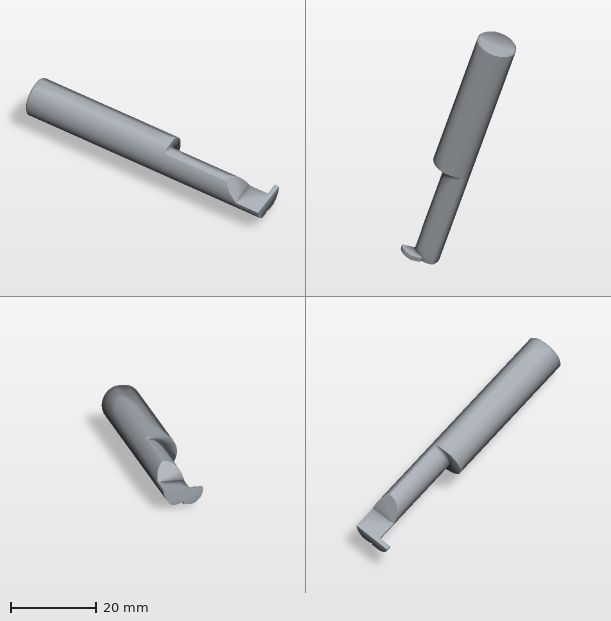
import cadquery as cq

total_length = 63.5
shank_radius = 4.75
shank_length = 36.75
flat_height = 4.5
shank_chamfer = 0.4

neck_radius = 3.8
neck_center_y = -2.2
neck_root_fillet = 0.45

head_start = 57.3
ramp_step = 0.1
head_top = 0.0
finger_thickness = 1.2
finger_underside_radius = 4.1
end_relief = 0.2

clearance = 12.7
edge_margin = 0.05


def make_bar():
    """Full-length round bar, chamfered at its plain end, with the flat along the shank."""
    bar = cq.Workplane("YZ").circle(shank_radius).extrude(total_length)
    bar = bar.faces("<X").chamfer(shank_chamfer)
    flat_cut = cq.Workplane("XY").box(
        total_length, clearance, clearance, centered=(False, True, False)
    ).translate((0, 0, flat_height))
    return bar.cut(flat_cut)


def make_neck_envelope():
    """Round-backed profile open toward -Y, flared by a fillet where it leaves the shank."""
    front_y = neck_center_y - clearance
    profile = (
        cq.Workplane("YZ", origin=(shank_length, 0, 0))
        .moveTo(front_y, -neck_radius)
        .lineTo(neck_center_y, -neck_radius)
        .threePointArc((neck_center_y + neck_radius, 0), (neck_center_y, neck_radius))
        .lineTo(front_y, neck_radius)
        .close()
    )
    neck = profile.extrude(total_length - shank_length)
    shoulder_width = 3 * clearance
    shoulder = (
        cq.Workplane("YZ", origin=(shank_length, 0, 0))
        .rect(shoulder_width, shoulder_width)
        .extrude(-shank_length)
    )
    root = cq.selectors.BoxSelector(
        (shank_length - edge_margin, front_y + edge_margin, -clearance),
        (shank_length + edge_margin, clearance, clearance),
    )
    return shoulder.union(neck).edges(root).fillet(neck_root_fillet)


def make_finger():
    """Thin disc at the free end, its edge reaching back as far as the shank does."""
    center_y = shank_radius - finger_underside_radius
    finger_start = total_length - finger_thickness
    disc = (
        cq.Workplane("YZ", origin=(finger_start, center_y, 0))
        .circle(finger_underside_radius)
        .extrude(finger_thickness)
    )
    keep = cq.Workplane("XY").box(
        total_length, clearance, 2 * neck_radius, centered=(False, False, True)
    )
    return disc.intersect(keep)


def make_ramp_cut():
    """Space above the head, bounded behind by the 45 degree ramp."""
    return (
        cq.Workplane("XZ")
        .moveTo(head_start, head_top)
        .lineTo(total_length + clearance, head_top)
        .lineTo(total_length + clearance, head_top + ramp_step + clearance)
        .lineTo(head_start - clearance, head_top + ramp_step + clearance)
        .lineTo(head_start, head_top + ramp_step)
        .close()
        .extrude(clearance, both=True)
    )


def make_end_relief():
    """Wedge that slopes the end face back from the finger tip toward the front side."""
    return (
        cq.Workplane("XY")
        .moveTo(total_length, shank_radius)
        .lineTo(total_length, -shank_radius)
        .lineTo(total_length - end_relief, -shank_radius)
        .close()
        .extrude(clearance, both=True)
    )


bar = make_bar()
tool = bar.intersect(make_neck_envelope()).union(make_finger())
result = tool.cut(make_ramp_cut()).cut(make_end_relief())